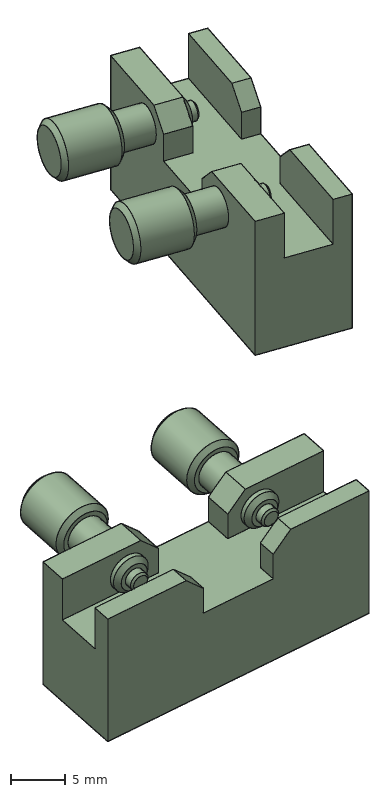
import cadquery as cq

length = 30.0
depth = 10.0
height = 15.0

channel_depth = 5.0
channel_width = 5.0
front_wall = 3.0

gap_width = 7.98
gap_bevel = 2.0

screw_spacing = 15.0
screw_drop = 3.0
shaft_diameter = 4.0
shaft_length = 7.5
tip_diameter = 2.0
tip_length = 1.0
tip_chamfer = 0.2
knob_diameter = 6.0
knob_length = 6.5
knob_standoff = 3.5
edge_chamfer = 0.5

floor_z = height - channel_depth
screw_z = height - screw_drop
screw_positions = [-screw_spacing / 2, screw_spacing / 2]


def cylinder_along_y(x, start_y, diameter, cylinder_length):
    """Cylinder on a screw axis, running from start_y towards +Y."""
    center = cq.Vector(x, start_y, screw_z)
    solid = cq.Solid.makeCylinder(diameter / 2, cylinder_length, center, cq.Vector(0, 1, 0))
    return cq.Workplane(obj=solid)


def make_housing():
    block = cq.Workplane().box(length, depth, height, centered=(True, False, False))

    channel = (
        cq.Workplane()
        .box(length, channel_width, channel_depth, centered=(True, False, False))
        .translate((0, front_wall, floor_z))
    )

    half_gap = gap_width / 2
    gap = (
        cq.Workplane("XZ")
        .moveTo(-half_gap, floor_z)
        .lineTo(half_gap, floor_z)
        .lineTo(half_gap, height - gap_bevel)
        .lineTo(half_gap + gap_bevel, height)
        .lineTo(-half_gap - gap_bevel, height)
        .lineTo(-half_gap, height - gap_bevel)
        .close()
        .extrude(-depth)
    )

    body = block.cut(channel).cut(gap)
    for x in screw_positions:
        body = body.cut(cylinder_along_y(x, 0, shaft_diameter, front_wall))
    return body


def make_shaft(x):
    shoulder_y = shaft_length - knob_standoff
    shank = cylinder_along_y(x, -knob_standoff, shaft_diameter, shaft_length)
    shank = shank.faces(">Y").chamfer(edge_chamfer)
    tip = cylinder_along_y(x, shoulder_y, tip_diameter, tip_length)
    tip = tip.faces(">Y").chamfer(tip_chamfer)
    return shank.union(tip)


def make_knob(x):
    knob = cylinder_along_y(x, -knob_standoff - knob_length, knob_diameter, knob_length)
    return knob.faces("<Y or >Y").chamfer(edge_chamfer)


housing = make_housing().solids()
shafts = [make_shaft(x).solids().val() for x in screw_positions]
knobs = [make_knob(x).solids().val() for x in screw_positions]

result = cq.Compound.makeCompound([housing.val(), *shafts, *knobs])